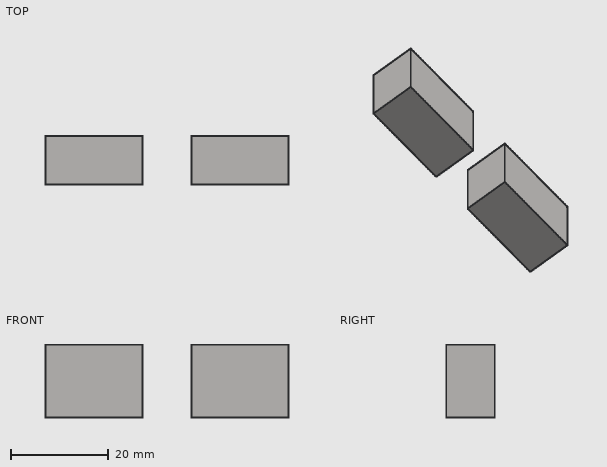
import cadquery as cq

overall_length = 50.0
block_length = 20.0
block_depth = 10.0
block_height = 15.0
block_count = 2

block_pitch = (overall_length - block_length) / (block_count - 1)


def make_block(center_x):
    """One rectangular block centred at center_x on the X axis."""
    block = cq.Workplane("XY").box(block_length, block_depth, block_height)
    return block.translate((center_x, 0, 0))


first_center_x = (block_length - overall_length) / 2
blocks = []
for index in range(block_count):
    blocks.append(make_block(first_center_x + index * block_pitch).val())

result = cq.Compound.makeCompound(blocks)